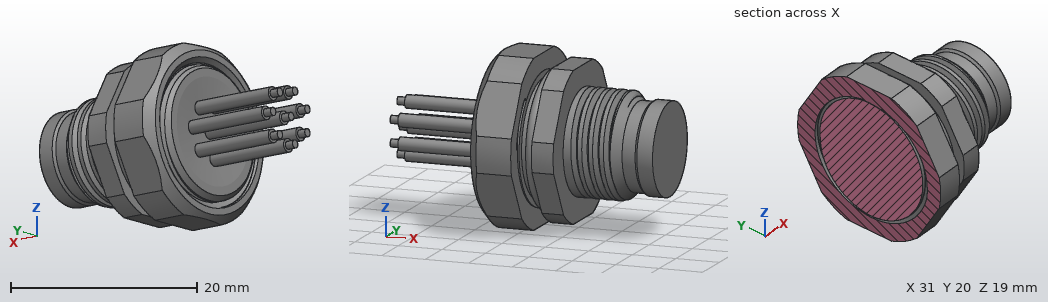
import cadquery as cq
import math


wire_tip_x = 0.0
strand_length = 1.0
housing_rear_x = 11.0
nut_rear_x = 11.5
nut_length = 5.0
flange_rear_x = 18.5
flange_length = 2.5
neck_rear_x = 27.4
neck_length = 1.5
lip_taper_length = 0.3
plug_end_x = 31.0
nut_front_x = nut_rear_x + nut_length
flange_front_x = flange_rear_x + flange_length
neck_front_x = neck_rear_x + neck_length

dish_radius = 6.0
dish_depth = 0.5
rear_thread_radius = 7.5
rear_chamfer = 0.55
collar_radius = 6.75
front_thread_radius = 6.0
neck_radius = 5.0
lip_radius = 5.25

flange_across_flats = 17.0
flange_corner_diameter = 18.0
nut_across_flats = 19.0
nut_corner_diameter = 20.0
nut_chamfer = 1.0
nut_countersink_radius = 8.25

thread_depth = 0.65
thread_half_width = thread_depth * math.tan(math.radians(30))
thread_overshoot = 0.2
front_thread_pitch = 1.25
front_thread_start_x = 21.65
front_thread_start_angle = 0.0
rear_thread_pitch = 1.5
rear_thread_root_x = 10.95
rear_thread_root_angle = 215.0
nut_thread_root_x = 11.6
nut_thread_root_angle = 255.0

outer_wire_count = 7
wire_circle_radius = 3.0
insulation_radius = 0.75
strand_radius = 0.45
wire_embedded_length = 1.0

o_ring_section_radius = 0.625


def cylinder(start_x, end_x, radius, y=0.0, z=0.0):
    """Cylinder parallel to X."""
    return cq.Workplane("YZ", origin=(start_x, y, z)).circle(radius).extrude(end_x - start_x)


def revolved(points):
    """Solid of revolution about X from (x, radius) points."""
    return cq.Workplane("XY").polyline(points).close().revolve(360, (0, 0, 0), (1, 0, 0))


def rounded_hexagon(start_x, length, across_flats, corner_diameter):
    """Hexagon with flats facing +Z and -Z and corners turned to a diameter."""
    across_corners = across_flats / math.cos(math.radians(30))
    hexagon = cq.Workplane("YZ", origin=(start_x, 0, 0)).polygon(6, across_corners).extrude(length)
    return hexagon.intersect(cylinder(start_x, start_x + length, corner_diameter / 2))


def helical_groove(crest_radius, inward, root_x, root_angle, pitch, length, left_handed):
    """V cutter wound about X; its root passes root_x at root_angle and runs towards +X.

    inward is 1 for a groove that deepens towards the axis and -1 for one in a bore.
    """
    widening = (thread_depth + thread_overshoot) / thread_depth
    root_radius = crest_radius - inward * thread_depth
    mouth_radius = crest_radius + inward * thread_overshoot
    mouth_half_width = thread_half_width * widening
    helix = cq.Wire.makeHelix(pitch, length, crest_radius, lefthand=left_handed)
    section = (
        cq.Workplane("XZ")
        .moveTo(root_radius, 0)
        .lineTo(mouth_radius, mouth_half_width)
        .lineTo(mouth_radius, -mouth_half_width)
        .close()
    )
    groove = section.sweep(cq.Workplane(helix), isFrenet=True)
    along_x = groove.rotate((0, 0, 0), (0, 1, 0), 90)
    return along_x.rotate((0, 0, 0), (1, 0, 0), root_angle - 270).translate((root_x, 0, 0))


def dish_arc_midpoint():
    """Point on the dish halfway, by angle, between its centre and its rim."""
    sphere_radius = (dish_radius**2 + dish_depth**2) / (2 * dish_depth)
    half_angle = math.asin(dish_radius / sphere_radius) / 2
    sphere_x = housing_rear_x + dish_depth - sphere_radius
    return sphere_x + sphere_radius * math.cos(half_angle), sphere_radius * math.sin(half_angle)


def rear_barrel():
    """Threaded, chamfered rear end with a spherical dish in its face."""
    blank = (
        cq.Workplane("XY")
        .moveTo(housing_rear_x + dish_depth, 0)
        .threePointArc(dish_arc_midpoint(), (housing_rear_x, dish_radius))
        .lineTo(housing_rear_x, rear_thread_radius - rear_chamfer)
        .lineTo(housing_rear_x + rear_chamfer, rear_thread_radius)
        .lineTo(nut_front_x, rear_thread_radius)
        .lineTo(nut_front_x, 0)
        .close()
        .revolve(360, (0, 0, 0), (1, 0, 0))
    )
    groove = helical_groove(
        rear_thread_radius, 1, rear_thread_root_x, rear_thread_root_angle,
        rear_thread_pitch, nut_length, True,
    )
    return blank.cut(groove)


def front_barrel():
    """Threaded front end whose chamfer runs down to the neck."""
    overlong = cylinder(flange_front_x, plug_end_x, front_thread_radius)
    groove = helical_groove(
        front_thread_radius, 1, front_thread_start_x, front_thread_start_angle,
        front_thread_pitch, neck_rear_x - front_thread_start_x, False,
    )
    chamfered_envelope = revolved([
        (flange_rear_x, 0),
        (flange_rear_x, flange_corner_diameter / 2),
        (neck_rear_x - (flange_corner_diameter / 2 - neck_radius), flange_corner_diameter / 2),
        (neck_rear_x, neck_radius),
        (neck_rear_x, 0),
    ])
    return overlong.cut(groove).intersect(chamfered_envelope)


def neck_and_lip():
    """Plain neck that tapers out to the lip of the plug."""
    return revolved([
        (neck_rear_x, 0),
        (neck_rear_x, neck_radius),
        (neck_front_x, neck_radius),
        (neck_front_x + lip_taper_length, lip_radius),
        (plug_end_x, lip_radius),
        (plug_end_x, 0),
    ])


def wire(y, z):
    """Insulated wire with a bare strand at its tip, rooted in the housing."""
    insulation_x = wire_tip_x + strand_length
    strand = cylinder(wire_tip_x, insulation_x, strand_radius, y, z)
    root_x = housing_rear_x + wire_embedded_length
    return strand.union(cylinder(insulation_x, root_x, insulation_radius, y, z))


def make_housing():
    """Housing with both threads and its moulded-in wires."""
    collar = cylinder(nut_front_x, flange_rear_x, collar_radius)
    flange = rounded_hexagon(flange_rear_x, flange_length, flange_across_flats, flange_corner_diameter)
    body = rear_barrel().union(collar).union(flange).union(front_barrel()).union(neck_and_lip())
    body = body.union(wire(0, 0))
    for index in range(outer_wire_count):
        angle = 2 * math.pi * index / outer_wire_count
        body = body.union(wire(wire_circle_radius * math.cos(angle), wire_circle_radius * math.sin(angle)))
    return body


def make_nut():
    """Hexagon nut, chamfered and countersunk at the rear, with a threaded bore."""
    blank = rounded_hexagon(nut_rear_x, nut_length, nut_across_flats, nut_corner_diameter)
    corner_radius = nut_corner_diameter / 2
    countersink_depth = nut_countersink_radius - rear_thread_radius
    turned = revolved([
        (nut_rear_x, nut_countersink_radius),
        (nut_rear_x, corner_radius - nut_chamfer),
        (nut_rear_x + nut_chamfer, corner_radius),
        (nut_front_x, corner_radius),
        (nut_front_x, rear_thread_radius),
        (nut_rear_x + countersink_depth, rear_thread_radius),
    ])
    groove = helical_groove(
        rear_thread_radius, -1, nut_thread_root_x, nut_thread_root_angle,
        rear_thread_pitch, nut_length, True,
    )
    return blank.intersect(turned).cut(groove)


def make_o_ring():
    """Round-section sealing ring."""
    centre_radius = collar_radius + o_ring_section_radius
    return (
        cq.Workplane("XY")
        .center(flange_rear_x - o_ring_section_radius, centre_radius)
        .circle(o_ring_section_radius)
        .revolve(360, (0, -centre_radius, 0), (1, -centre_radius, 0))
    )


housing = make_housing()
nut = make_nut()
o_ring = make_o_ring()

result = cq.Compound.makeCompound([housing.val(), nut.val(), o_ring.val()])